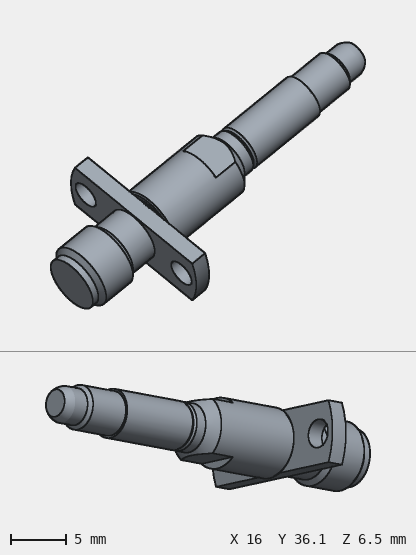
import cadquery as cq


overall_length = 36.05
neck_radius = 2.7
collar_radius = 3.2
nose_length = 0.7
collar_length = 4.4
collar_chamfer = collar_radius - neck_radius

flange_start = 7.85
flange_thickness = 1.65
flange_height = 5.7
flange_diameter = 16.0
hole_diameter = 2.6
hole_spacing = 12.2

body_radius = 3.25
body_start = 9.7
body_edge_chamfer = 0.15
body_end = 18.71
barrel_radius = 2.25
barrel_start = body_end + body_radius - barrel_radius

flat_start = 16.25
across_flats = 5.0

groove_start = 20.8
groove_width = 0.5
groove_depth = 0.15

barrel_end = 29.3
sleeve_radius = 2.05
sleeve_end = 33.3
tip_radius = 1.7
tip_step = sleeve_radius - tip_radius
tip_end_radius = 1.25
tip_round_length = 0.88
tip_bulge = 0.07


def make_turned_body():
    """Revolve the half outline, drawn as (radius, Y), about the Y axis."""
    collar_end = nose_length + collar_length
    groove_radius = barrel_radius - groove_depth
    return (
        cq.Workplane("XY")
        .moveTo(0, 0)
        .lineTo(neck_radius, 0)
        .lineTo(neck_radius, nose_length)
        .lineTo(collar_radius, nose_length + collar_chamfer)
        .lineTo(collar_radius, collar_end - collar_chamfer)
        .lineTo(neck_radius, collar_end)
        .lineTo(neck_radius, body_start)
        .lineTo(body_radius - body_edge_chamfer, body_start)
        .lineTo(body_radius, body_start + body_edge_chamfer)
        .lineTo(body_radius, body_end)
        .lineTo(barrel_radius, barrel_start)
        .lineTo(barrel_radius, groove_start)
        .lineTo(groove_radius, groove_start + groove_width / 2)
        .lineTo(barrel_radius, groove_start + groove_width)
        .lineTo(barrel_radius, barrel_end)
        .lineTo(sleeve_radius, barrel_end)
        .lineTo(sleeve_radius, sleeve_end)
        .lineTo(tip_radius, sleeve_end + tip_step)
        .lineTo(tip_radius, overall_length - tip_round_length)
        .sagittaArc((tip_end_radius, overall_length), -tip_bulge)
        .lineTo(0, overall_length)
        .close()
        .revolve(360, (0, 0, 0), (0, 1, 0))
    )


def make_flange():
    """Disc trimmed to a strip, with a mounting hole on each side."""
    plane = cq.Workplane("XZ", origin=(0, flange_start, 0))
    disc = plane.circle(flange_diameter / 2).extrude(-flange_thickness)
    strip = plane.rect(flange_diameter, flange_height).extrude(-flange_thickness)
    holes = (
        plane.pushPoints([(-hole_spacing / 2, 0), (hole_spacing / 2, 0)])
        .circle(hole_diameter / 2)
        .extrude(-flange_thickness)
    )
    return disc.intersect(strip).cut(holes)


def cut_wrench_flats(body):
    """Mill two parallel flats, open towards the conical shoulder."""
    flat_length = barrel_start - flat_start
    cut_depth = body_radius - across_flats / 2
    for side in (-1, 1):
        cutter = cq.Workplane("XY").box(2 * body_radius, flat_length, cut_depth)
        height = side * (across_flats + cut_depth) / 2
        body = body.cut(cutter.translate((0, flat_start + flat_length / 2, height)))
    return body


result = cut_wrench_flats(make_turned_body()).union(make_flange())